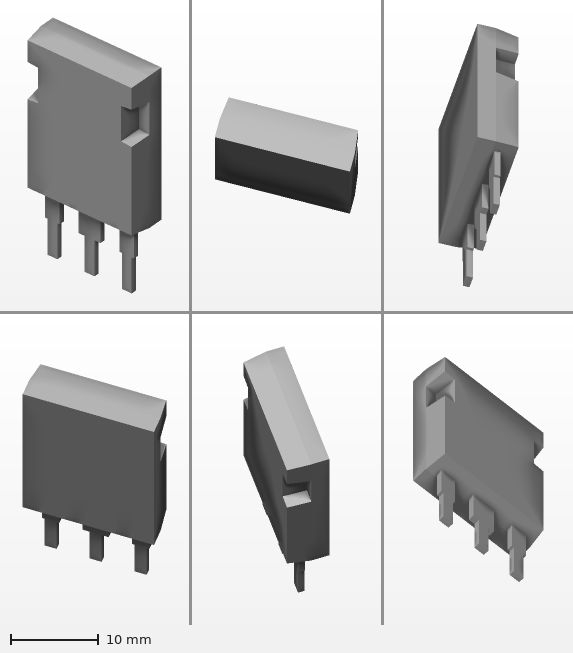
import cadquery as cq
import math

TOTAL_HEIGHT = 30.35
PACKAGE_WIDTH = 15.93
PACKAGE_DEPTH = 5.0
PACKAGE_HEIGHT = 21.05
SLAB_DEPTH = 2.2
DRAFT_INSET = 0.33

NOTCH_DEPTH = 1.52
NOTCH_INNER_HEIGHT = 4.22
NOTCH_FLARE = 0.15
NOTCH_CENTER_DROP = 5.92

LEAD_PITCH = 5.45
LEAD_THICKNESS = 0.75
LEAD_BACK_GAP = 0.25
OUTER_SHANK_WIDTH = 2.12
MIDDLE_SHANK_WIDTH = 3.2
TIP_WIDTH = 1.45
TIP_LENGTH = 4.98

package_bottom = TOTAL_HEIGHT - PACKAGE_HEIGHT
package_mid_z = package_bottom + PACKAGE_HEIGHT / 2
cover_depth = PACKAGE_DEPTH - SLAB_DEPTH
draft_angle = math.degrees(math.atan(DRAFT_INSET / cover_depth))
lead_back_y = -SLAB_DEPTH - LEAD_BACK_GAP
shank_top = package_bottom + DRAFT_INSET


def front_plane(y, z):
    """XZ work plane whose normal points to the front (-Y)."""
    return cq.Workplane("XZ", origin=(0, y, z))


def make_slab():
    """Straight-sided rear part of the package."""
    return front_plane(0, package_mid_z).rect(PACKAGE_WIDTH, PACKAGE_HEIGHT).extrude(SLAB_DEPTH)


def notch_outline(side, growth):
    """Corners of the notch section, grown inboard and in height; side is -1 or 1."""
    inner_x = side * (PACKAGE_WIDTH / 2 - NOTCH_DEPTH - growth)
    outer_x = side * (PACKAGE_WIDTH / 2 + NOTCH_DEPTH)
    inner_half = NOTCH_INNER_HEIGHT / 2 + growth
    outer_half = inner_half + 2 * NOTCH_FLARE
    return [
        (inner_x, -inner_half),
        (outer_x, -outer_half),
        (outer_x, outer_half),
        (inner_x, inner_half),
    ]


def notch_cutter(side):
    """Trapezoidal notch that widens from the slab to the front face."""
    return (
        front_plane(-SLAB_DEPTH, TOTAL_HEIGHT - NOTCH_CENTER_DROP)
        .polyline(notch_outline(side, 0))
        .close()
        .workplane(offset=cover_depth)
        .polyline(notch_outline(side, DRAFT_INSET))
        .close()
        .loft(ruled=True)
    )


def make_cover():
    """Drafted front part of the package with a notch in each side."""
    cover = (
        front_plane(-SLAB_DEPTH, package_mid_z)
        .rect(PACKAGE_WIDTH, PACKAGE_HEIGHT)
        .extrude(cover_depth, taper=draft_angle)
    )
    for side in (-1, 1):
        cover = cover.cut(notch_cutter(side))
    return cover


def lead_bar(x, width, bottom_z, top_z):
    """Rectangular bar in the common plane of the leads."""
    height = top_z - bottom_z
    plane = front_plane(lead_back_y, bottom_z + height / 2)
    return plane.center(x, 0).rect(width, height).extrude(LEAD_THICKNESS)


def make_shank(x, width, cover):
    """Wide upper lead part that meets the sloping underside of the cover."""
    return lead_bar(x, width, TIP_LENGTH, shank_top).cut(cover).solids()


def make_tip(x):
    """Narrow lower lead part."""
    return lead_bar(x, TIP_WIDTH, 0, TIP_LENGTH)


slab = make_slab()
cover = make_cover()

shanks = []
tips = []
for position in (-1, 0, 1):
    lead_x = position * LEAD_PITCH
    shank_width = MIDDLE_SHANK_WIDTH if position == 0 else OUTER_SHANK_WIDTH
    shanks.append(make_shank(lead_x, shank_width, cover).val())
    tips.append(make_tip(lead_x).val())

result = cq.Compound.makeCompound([slab.val(), cover.val(), *shanks, *tips])